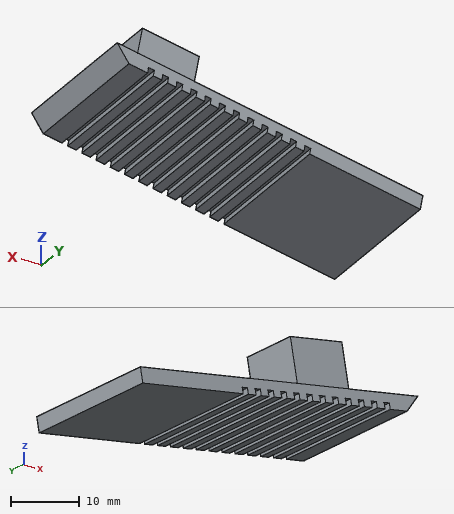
import cadquery as cq
import math

overall_length = 52.85
plate_width = 24.0
plate_thickness = 2.55
tilt_angle = 10.5
plate_length = overall_length / math.cos(math.radians(tilt_angle))

block_side = 10.0
block_height = 10.1
block_tip_gap = 7.0

groove_count = 12
groove_width = 1.0
groove_depth = 1.0
first_groove_start = 19.45
groove_row_span = 27.5
groove_pitch = groove_row_span / (groove_count - 1)


def make_plate():
    """Plate with its underside on Z = 0 and a 45 degree undercut at the tip."""
    profile = [
        (0, 0),
        (plate_length - plate_thickness, 0),
        (plate_length, plate_thickness),
        (0, plate_thickness),
    ]
    return cq.Workplane("XZ").polyline(profile).close().extrude(plate_width / 2, both=True)


def make_block():
    """Square block centred across the plate, seated on its top face."""
    block_start = plate_length - block_tip_gap - block_side
    block = cq.Workplane("XY").box(block_side, block_side, block_height, centered=(False, True, False))
    return block.translate((block_start, 0, plate_thickness))


def make_groove(start):
    """Cutter for one full-width groove beginning at the given distance along the plate."""
    groove = cq.Workplane("XY").box(groove_width, plate_width, groove_depth, centered=(False, True, False))
    return groove.translate((start, 0, 0))


part = make_plate().union(make_block())
for index in range(groove_count):
    part = part.cut(make_groove(first_groove_start + index * groove_pitch))

result = part.rotate((0, 0, 0), (0, 1, 0), -tilt_angle)